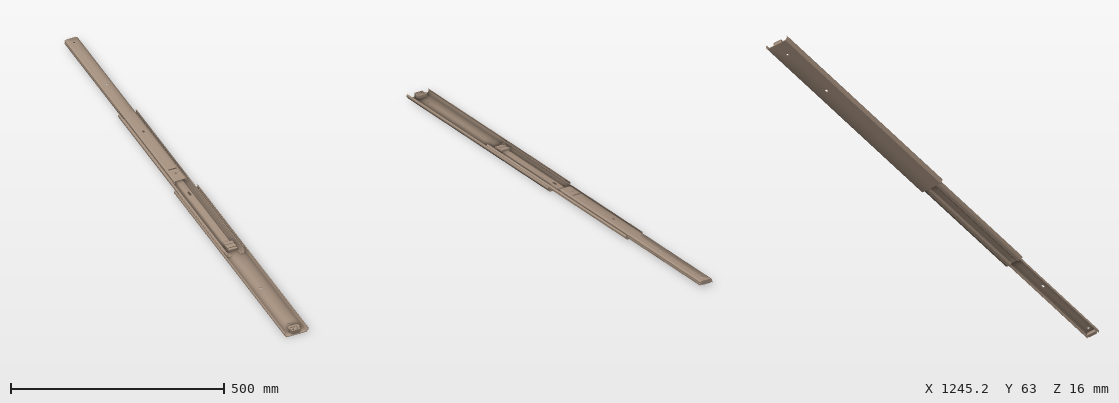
import cadquery as cq
import math


TOTAL_LENGTH = 1245.24
INNER_LENGTH = 606.0
MIDDLE_START, MIDDLE_END = 311.5, 911.0
OUTER_LENGTH = 610.0
OUTER_START = TOTAL_LENGTH - OUTER_LENGTH

SHEET = 1.5
HALF_SHEET = SHEET / 2
TOTAL_HEIGHT = 16.0
TOTAL_WIDTH = 63.0

OUTER_WEB_Z = HALF_SHEET
RACE_RADIUS = 4.25
RACE_LIP_ANGLE = math.radians(55)
RACE_FOOT_ANGLE = math.radians(39)
OUTER_RACE_Y = TOTAL_WIDTH / 2 - HALF_SHEET - RACE_RADIUS
OUTER_RACE_Z = 8.8

MIDDLE_WEB_Z = 3.0
MIDDLE_WEB_HALF_WIDTH = 18.0
RIB_TOP_HALF_WIDTH = 6.9
RIB_FOOT_HALF_WIDTH = 11.3
RIB_TOP_Z = 7.2
FLANGE_Y = 23.5
FLANGE_WALL_HEIGHT = 4.0
FLANGE_LIP_Y = 21.0
FLANGE_LIP_RISE = 2.0
MIDDLE_RACE_Z = 8.5

INNER_WEB_Z = TOTAL_HEIGHT - HALF_SHEET
INNER_WEB_HALF_WIDTH = 12.0
INNER_SHOULDER_Y = 15.7
INNER_FOOT_Y = 16.75
INNER_FLANGE_TOP_Z = 13.3
INNER_FLANGE_FOOT_Z = 6.0
INNER_GROOVE_TOP_Z = 11.5
INNER_GROOVE_FOOT_Z = 7.5
INNER_GROOVE_DEPTH = 1.5

SCREW_HOLE = 5.0
SCREW_SLOT_LENGTH = 8.0
INNER_HOLES = (18.8, 578.0)
INNER_SLOTS = (197.0, 400.0)
OUTER_HOLES = (1202.0,)
OUTER_SLOTS = (1049.0,)
CROSS_SLOT_X = 560.5
CROSS_SLOT_WIDTH = 4.0
CROSS_SLOT_LENGTH = 22.0
RIB_SLOT_X = 654.0
RIB_SLOT_LENGTH = 16.0
RIB_SLOT_WIDTH = 6.0
NOTCH_START, NOTCH_STEP = 886.5, 896.0
NOTCH_WIDE_HALF_WIDTH = 15.5
NOTCH_HALF_WIDTH = 11.3

CAGE_THICKNESS = 1.2
INNER_CAGE_Y = 18.9
INNER_CAGE_HEIGHT = 5.5
INNER_CAGE_START, INNER_CAGE_END = 330.0, 600.0
OUTER_CAGE_Y = 26.0
OUTER_CAGE_HEIGHT = 7.0
OUTER_CAGE_START, OUTER_CAGE_END = 650.0, 900.0

PLUG_LENGTH = 8.0
PLUG_HALF_WIDTH = 11.6
PLUG_FOOT_Z = 5.5

CATCH_START, CATCH_END = 866.0, 895.0
CATCH_HALF_WIDTH = 11.6
CATCH_TOP_Z = 12.5
CATCH_GROOVE = (874.5, 882.0)
CATCH_GROOVE_DEPTH = 1.5
CATCH_TONGUE_START = 888.0
CATCH_TONGUE_HALF_WIDTH = 10.8
CATCH_TONGUE_TOP_Z = 10.5

BUMPER_START, BUMPER_END = 1223.0, 1243.5
BUMPER_HALF_WIDTH = 11.0
BUMPER_TOP_Z = 12.5
EAR_START, EAR_END = 1226.5, 1233.5
EAR_HALF_WIDTH = 14.0
BUMPER_WINDOW_X = 1238.8
BUMPER_WINDOW_Y = 5.6
BUMPER_WINDOW_SIZE = 4.5
BUMPER_HOLE_X = 1230.5
BUMPER_HOLE = 4.5
BUMPER_HOLE_PITCH = 6.0


def box(x_range, y_range, z_range):
    """A block between the given limits."""
    size = [high - low for low, high in (x_range, y_range, z_range)]
    corner = (x_range[0], y_range[0], z_range[0])
    return cq.Workplane("XY").box(*size, centered=False).translate(corner)


def centred_box(x_range, half_width, z_range):
    """A block that spans the same distance to both sides of Y = 0."""
    return box(x_range, (-half_width, half_width), z_range)


def half_rail(centre_line, start, end):
    """The +Y half of a sheet rail: its centre line thickened and extruded along X."""
    sheet = centre_line.offset2D(HALF_SHEET, "intersection").extrude(end - start).translate((start, 0, 0))
    keep = box((start, end), (0, TOTAL_WIDTH), (-TOTAL_HEIGHT, 2 * TOTAL_HEIGHT))
    return sheet.intersect(keep)


def rail(centre_line, start, end):
    """A full rail, mirrored about Y = 0 from the +Y half of its centre line."""
    half = half_rail(centre_line, start, end)
    return half.union(half.mirror("XZ"))


def screw_openings(holes, slots, web_z):
    """Cutters for the round and the lengthwise screw holes in a web."""
    plane = cq.Workplane("XY", origin=(0, 0, web_z - SHEET))
    round_holes = plane.pushPoints([(x, 0) for x in holes]).circle(SCREW_HOLE / 2).extrude(2 * SHEET)
    long_holes = plane.pushPoints([(x, 0) for x in slots]).slot2D(SCREW_SLOT_LENGTH, SCREW_HOLE)
    return round_holes.union(long_holes.extrude(2 * SHEET))


def make_outer_rail():
    lip_y = OUTER_RACE_Y + RACE_RADIUS * math.cos(RACE_LIP_ANGLE)
    lip_z = OUTER_RACE_Z + RACE_RADIUS * math.sin(RACE_LIP_ANGLE)
    foot_y = OUTER_RACE_Y + RACE_RADIUS * math.cos(RACE_FOOT_ANGLE)
    foot_z = OUTER_RACE_Z - RACE_RADIUS * math.sin(RACE_FOOT_ANGLE)
    web_half_width = foot_y - (foot_z - OUTER_WEB_Z) * math.tan(RACE_FOOT_ANGLE)
    centre_line = (
        cq.Workplane("YZ")
        .moveTo(-SHEET, OUTER_WEB_Z)
        .lineTo(web_half_width, OUTER_WEB_Z)
        .lineTo(foot_y, foot_z)
        .threePointArc((OUTER_RACE_Y + RACE_RADIUS, OUTER_RACE_Z), (lip_y, lip_z))
    )
    body = rail(centre_line, OUTER_START, TOTAL_LENGTH)
    return body.cut(screw_openings(OUTER_HOLES, OUTER_SLOTS, OUTER_WEB_Z))


def make_middle_rail():
    wall_foot_z = MIDDLE_RACE_Z - FLANGE_WALL_HEIGHT / 2
    wall_top_z = MIDDLE_RACE_Z + FLANGE_WALL_HEIGHT / 2
    centre_line = (
        cq.Workplane("YZ")
        .moveTo(-SHEET, RIB_TOP_Z)
        .lineTo(RIB_TOP_HALF_WIDTH, RIB_TOP_Z)
        .lineTo(RIB_FOOT_HALF_WIDTH, MIDDLE_WEB_Z)
        .lineTo(MIDDLE_WEB_HALF_WIDTH, MIDDLE_WEB_Z)
        .lineTo(FLANGE_LIP_Y, wall_foot_z - FLANGE_LIP_RISE)
        .lineTo(FLANGE_Y, wall_foot_z)
        .lineTo(FLANGE_Y, wall_top_z)
        .lineTo(FLANGE_LIP_Y, wall_top_z + FLANGE_LIP_RISE)
    )
    body = rail(centre_line, MIDDLE_START, MIDDLE_END)
    rib_slot = (
        cq.Workplane("XY", origin=(RIB_SLOT_X, 0, RIB_TOP_Z - SHEET))
        .slot2D(RIB_SLOT_LENGTH, RIB_SLOT_WIDTH)
        .extrude(2 * SHEET)
    )
    body = body.cut(rib_slot)
    heights = (0, TOTAL_HEIGHT)
    body = body.cut(centred_box((NOTCH_START, NOTCH_STEP), NOTCH_WIDE_HALF_WIDTH, heights))
    return body.cut(centred_box((NOTCH_STEP, MIDDLE_END), NOTCH_HALF_WIDTH, heights))


def make_inner_rail():
    groove_floor_y = INNER_SHOULDER_Y - INNER_GROOVE_DEPTH
    groove_z = (INNER_GROOVE_TOP_Z + INNER_GROOVE_FOOT_Z) / 2
    centre_line = (
        cq.Workplane("YZ")
        .moveTo(-SHEET, INNER_WEB_Z)
        .lineTo(INNER_WEB_HALF_WIDTH, INNER_WEB_Z)
        .lineTo(INNER_SHOULDER_Y, INNER_FLANGE_TOP_Z)
        .lineTo(INNER_SHOULDER_Y, INNER_GROOVE_TOP_Z)
        .threePointArc((groove_floor_y, groove_z), (INNER_FOOT_Y, INNER_GROOVE_FOOT_Z))
        .lineTo(INNER_FOOT_Y, INNER_FLANGE_FOOT_Z)
    )
    body = rail(centre_line, 0, INNER_LENGTH)
    cross_slot = centred_box(
        (CROSS_SLOT_X - CROSS_SLOT_WIDTH / 2, CROSS_SLOT_X + CROSS_SLOT_WIDTH / 2),
        CROSS_SLOT_LENGTH / 2,
        (INNER_WEB_Z - SHEET, TOTAL_HEIGHT),
    )
    return body.cut(cross_slot).cut(screw_openings(INNER_HOLES, INNER_SLOTS, INNER_WEB_Z))


def make_plug():
    """Block under the inner rail's web, between its flanges."""
    return centred_box((0, PLUG_LENGTH), PLUG_HALF_WIDTH, (PLUG_FOOT_Z, INNER_WEB_Z - HALF_SHEET))


def make_cage(start, end, y, race_z, height):
    """One ball cage strip standing in a race; y is the middle of its thickness."""
    return box(
        (start, end),
        (y - CAGE_THICKNESS / 2, y + CAGE_THICKNESS / 2),
        (race_z - height / 2, race_z + height / 2),
    )


def make_catch(middle_rail):
    """Catch that straddles the rib, with a cross groove on top and a lower tongue behind."""
    foot_z = MIDDLE_WEB_Z + HALF_SHEET
    body = centred_box((CATCH_START, CATCH_TONGUE_START), CATCH_HALF_WIDTH, (foot_z, CATCH_TOP_Z))
    groove_heights = (CATCH_TOP_Z - CATCH_GROOVE_DEPTH, CATCH_TOP_Z)
    body = body.cut(centred_box(CATCH_GROOVE, CATCH_HALF_WIDTH, groove_heights))
    tongue_range = (CATCH_TONGUE_START, CATCH_END)
    body = body.union(centred_box(tongue_range, CATCH_TONGUE_HALF_WIDTH, (foot_z, CATCH_TONGUE_TOP_Z)))
    return body.cut(middle_rail)


def make_bumper():
    """Eared block on the outer rail's web, with a row of holes and two windows behind it."""
    heights = (OUTER_WEB_Z + HALF_SHEET, BUMPER_TOP_Z)
    body = centred_box((BUMPER_START, BUMPER_END), BUMPER_HALF_WIDTH, heights)
    body = body.union(centred_box((EAR_START, EAR_END), EAR_HALF_WIDTH, heights))
    windows = (
        cq.Workplane("XY")
        .pushPoints([(BUMPER_WINDOW_X, side * BUMPER_WINDOW_Y) for side in (-1, 1)])
        .rect(BUMPER_WINDOW_SIZE, BUMPER_WINDOW_SIZE)
        .extrude(TOTAL_HEIGHT)
    )
    hole_points = [(BUMPER_HOLE_X, row * BUMPER_HOLE_PITCH) for row in (-1, 0, 1)]
    holes = cq.Workplane("XY").pushPoints(hole_points).circle(BUMPER_HOLE / 2).extrude(TOTAL_HEIGHT)
    return body.cut(windows).cut(holes)


outer_rail = make_outer_rail()
middle_rail = make_middle_rail()
inner_rail = make_inner_rail()
cages = []
for side in (-1, 1):
    inner_y = side * INNER_CAGE_Y
    outer_y = side * OUTER_CAGE_Y
    cages.append(make_cage(INNER_CAGE_START, INNER_CAGE_END, inner_y, MIDDLE_RACE_Z, INNER_CAGE_HEIGHT))
    cages.append(make_cage(OUTER_CAGE_START, OUTER_CAGE_END, outer_y, OUTER_RACE_Z, OUTER_CAGE_HEIGHT))
plug = make_plug()
catch = make_catch(middle_rail)
bumper = make_bumper()

result = cq.Compound.makeCompound(
    [
        outer_rail.val(),
        middle_rail.val(),
        inner_rail.val(),
        *[cage.val() for cage in cages],
        plug.val(),
        catch.val(),
        bumper.val(),
    ]
)